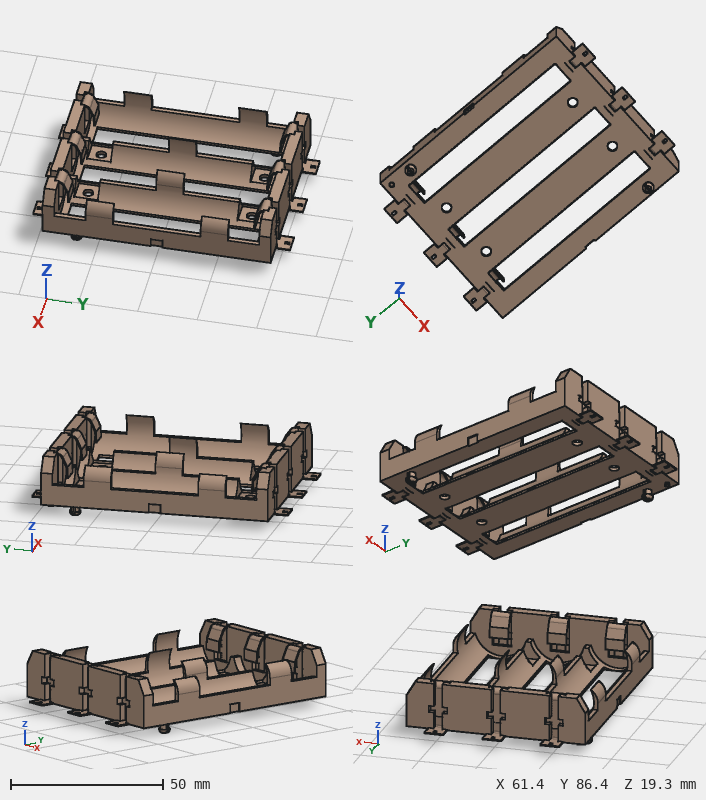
import cadquery as cq
import math


width = 61.4
length = 76.8
length_over_tabs = 86.4
wall_height = 15.9
side_height = 7.1
end_thickness = 3.9
corner_chamfer_x = 2.9
corner_chamfer_z = 4.9

bay_pitch = 19.9
bay_centers = [-bay_pitch, 0, bay_pitch]
web_centers = [-bay_pitch / 2, bay_pitch / 2]
cell_radius = 9.4
cell_axis_z = 9.5
opening_width = 7.9
opening_margin = 2.6
bay_length = length - 2 * end_thickness

clip_length = 9.2
clip_tip_z = 13.9
side_clip_y = 19.4
clip_root_thickness = 2.6

fixing_y = 27.5
seat_size = 8.0
seat_floor_z = 1.3
screw_hole_diameter = 3.2
peg_x = 27.9
peg_diameter = 2.85
peg_neck_length = 2.1
peg_length = 3.4
barb_diameter = 3.7
barb_tip_diameter = 2.1
barb_bulge = 0.22
peg_slit = 0.6

pin_y = 35.7
pin_neck_diameter = 1.3
pin_head_diameter = 1.6
pin_neck_length = 0.6
pin_length = 0.95

notch_length = 4.0
notch_height = 2.9
notch_depth = 0.5

sheet = 0.39
strip_width = 3.0
head_width = 6.5
head_reach = 8.65
strip_depth = 2.1
slot_depth = strip_depth + sheet
foot_bend_radius = 0.35
foot_mid_angle = 135.0
tab_reach = (length_over_tabs - length) / 2
tab_gap = 0.3
tab_hole_x = 0.9
tab_hole_y = 1.5
tab_hole_inset = 1.55
wing_width = 6.3
wing_bottom_z = 5.8
wing_height = 2.2
spring_pocket_floor_z = 3.6
spring_bend_radius = 1.8
spring_bend_z = 13.75
upper_blade_angle = 65.0
upper_blade_length = 3.7
lower_blade_angle = 87.0
lower_blade_length = 3.7


def block(x_size, y_min, y_max, z_min, z_max, x_center=0.0):
    """A box centred on x_center in X, given by its limits in Y and Z."""
    return (
        cq.Workplane("XY")
        .box(x_size, y_max - y_min, z_max - z_min, centered=(True, False, False))
        .translate((x_center, y_min, z_min))
    )


def along_y(profile, size):
    """Extrude a closed XZ profile symmetrically about the XZ plane."""
    return profile.close().extrude(size / 2, both=True)


def end_wall_pair():
    """Both end walls, with chamfered upper corners."""
    half = width / 2
    profile = (
        cq.Workplane("XZ")
        .moveTo(-half, 0)
        .lineTo(half, 0)
        .lineTo(half, wall_height - corner_chamfer_z)
        .lineTo(half - corner_chamfer_x, wall_height)
        .lineTo(corner_chamfer_x - half, wall_height)
        .lineTo(-half, wall_height - corner_chamfer_z)
    )
    between = block(width, -bay_length / 2, bay_length / 2, 0, wall_height)
    return along_y(profile, length).cut(between)


def clip_blank(bay_x, outer_offset, root_x):
    """Clip on the -X side of a bay, before the bay is cut: a root and a cap that leans inwards.

    The cap's outer face is an arc, vertical at the height of the cell axis, that meets
    the cell cylinder in a sharp tip. outer_offset is the distance from bay axis to outer face,
    and root_x is the centre of the root.
    """
    rise = clip_tip_z - cell_axis_z
    tip_offset = math.sqrt(cell_radius**2 - rise**2)
    lean = outer_offset - tip_offset
    arc_radius = (rise**2 + lean**2) / (2 * lean)
    half_angle = math.asin(rise / arc_radius) / 2
    mid_x = bay_x - outer_offset + arc_radius * (1 - math.cos(half_angle))
    mid_z = cell_axis_z + arc_radius * math.sin(half_angle)
    cap = (
        cq.Workplane("XZ")
        .moveTo(bay_x - outer_offset, cell_axis_z)
        .threePointArc((mid_x, mid_z), (bay_x - tip_offset, clip_tip_z))
        .lineTo(bay_x - cell_radius, cell_axis_z)
    )
    root = block(clip_root_thickness, -clip_length / 2, clip_length / 2, 0, cell_axis_z, root_x)
    return along_y(cap, clip_length).union(root)


def clip_blanks():
    """Two clips on each side wall, and one on each web leaning over the middle bay."""
    side_clip = clip_blank(
        -bay_pitch, width / 2 - bay_pitch, (clip_root_thickness - width) / 2
    )
    web_clip = clip_blank(0, bay_pitch - cell_radius, web_centers[0])
    left_clips = web_clip
    for y in (-side_clip_y, side_clip_y):
        left_clips = left_clips.union(side_clip.translate((0, y, 0)))
    return left_clips.union(left_clips.mirror("YZ"))


def bay_cutter():
    """Cell cylinders and the floor openings below them."""
    half = bay_length / 2
    opening_half = half - opening_margin
    cylinders = (
        cq.Workplane("XZ")
        .pushPoints([(x, cell_axis_z) for x in bay_centers])
        .circle(cell_radius)
        .extrude(half, both=True)
    )
    for x in bay_centers:
        opening = block(opening_width, -opening_half, opening_half, 0, cell_axis_z, x)
        cylinders = cylinders.union(opening)
    return cylinders


def screw_seat_cutter():
    """Square flat-bottomed seats in the webs, each with a screw hole."""
    points = [(x, y) for x in web_centers for y in (-fixing_y, fixing_y)]
    seats = (
        cq.Workplane("XY", origin=(0, 0, seat_floor_z))
        .pushPoints(points)
        .rect(seat_size, seat_size)
        .extrude(side_height)
    )
    holes = (
        cq.Workplane("XY").pushPoints(points).circle(screw_hole_diameter / 2).extrude(side_height)
    )
    return seats.union(holes)


def contact_slot_cutter(bay_x):
    """Space for one contact in the -Y end wall: outer slot with cross arms, and inner pocket."""
    face = -length / 2
    floor = face + slot_depth
    slot = block(strip_width, face, floor, 0, wall_height, bay_x)
    arms = block(wing_width, face, floor, wing_bottom_z, wing_bottom_z + wing_height, bay_x)
    pocket = block(
        head_width, floor, face + end_thickness, spring_pocket_floor_z, wall_height, bay_x
    )
    return slot.union(arms).union(pocket)


def side_notch_cutter():
    """Shallow notches at the foot of both side walls."""
    half = notch_length / 2
    left_notch = block(2 * notch_depth, -half, half, 0, notch_height, -width / 2)
    return left_notch.union(left_notch.mirror("YZ"))


def snap_peg():
    """Split peg with a rounded barb, pointing down from Z = 0."""
    barb_radius = barb_diameter / 2
    tip_radius = barb_tip_diameter / 2
    peg = (
        cq.Workplane("XZ")
        .moveTo(0, 0)
        .lineTo(peg_diameter / 2, 0)
        .lineTo(peg_diameter / 2, -peg_neck_length)
        .lineTo(barb_radius, -peg_neck_length)
        .sagittaArc((tip_radius, -peg_length), barb_bulge)
        .lineTo(0, -peg_length)
        .close()
        .revolve(360, (0, 0, 0), (0, 1, 0))
    )
    return peg.cut(block(2 * barb_diameter, -peg_slit / 2, peg_slit / 2, -peg_length, 0))


def locating_pin():
    """Short headed pin, pointing down from Z = 0."""
    neck = cq.Workplane("XY").circle(pin_neck_diameter / 2).extrude(-pin_neck_length)
    head = (
        cq.Workplane("XY", origin=(0, 0, -pin_neck_length))
        .circle(pin_head_diameter / 2)
        .extrude(pin_neck_length - pin_length)
    )
    return neck.union(head)


def make_housing():
    """Tray with end walls, clips, screw seats, contact slots, pegs and pin."""
    tray = block(width, -length / 2, length / 2, 0, side_height)
    body = tray.union(end_wall_pair()).union(clip_blanks())
    body = body.cut(bay_cutter()).cut(screw_seat_cutter()).cut(side_notch_cutter())
    for x in bay_centers:
        slot = contact_slot_cutter(x)
        body = body.cut(slot).cut(slot.mirror("XZ"))
    for x, y in [(-peg_x, fixing_y), (peg_x, -fixing_y)]:
        body = body.union(snap_peg().translate((x, y, 0)))
    return body.union(locating_pin().translate((-peg_x, pin_y, 0)))


def shifted(point, angle, distance):
    """Move a point across a blade that dips at the given angle; outwards is positive."""
    tilt = math.radians(angle)
    return (point[0] + distance * math.sin(tilt), point[1] + distance * math.cos(tilt))


def further(point, angle, distance):
    """Move a point down along a blade that dips at the given angle."""
    return shifted(point, angle + 90, distance)


def contact_ribbon():
    """Bent sheet of one contact at full width: tab, upright strip, bend and two-part blade.

    The profile's first coordinate is the depth from the wall's outer face, the second is Z.
    """
    bend_center = (strip_depth + spring_bend_radius, spring_bend_z)
    inner_bend_radius = spring_bend_radius - sheet
    foot_center = (strip_depth - foot_bend_radius, sheet + foot_bend_radius)
    foot_outer_radius = foot_bend_radius + sheet

    bend_end = shifted(bend_center, upper_blade_angle, spring_bend_radius)
    crease = further(bend_end, upper_blade_angle, upper_blade_length)
    blade_end = further(crease, lower_blade_angle, lower_blade_length)

    crease_angle = (upper_blade_angle + lower_blade_angle) / 2
    half_turn = math.radians(lower_blade_angle - upper_blade_angle) / 2
    inner_crease = shifted(crease, crease_angle, -sheet / math.cos(half_turn))
    inner_bend_end = shifted(bend_center, upper_blade_angle, inner_bend_radius)

    profile = (
        cq.Workplane("YZ")
        .moveTo(-tab_reach, 0)
        .lineTo(-tab_reach, sheet)
        .lineTo(foot_center[0], sheet)
        .threePointArc(
            shifted(foot_center, foot_mid_angle, foot_bend_radius), (strip_depth, foot_center[1])
        )
        .lineTo(strip_depth, spring_bend_z)
        .threePointArc(shifted(bend_center, 0, spring_bend_radius), bend_end)
        .lineTo(*crease)
        .lineTo(*blade_end)
        .lineTo(*shifted(blade_end, lower_blade_angle, -sheet))
        .lineTo(*inner_crease)
        .lineTo(*inner_bend_end)
        .threePointArc(shifted(bend_center, 0, inner_bend_radius), (slot_depth, spring_bend_z))
        .lineTo(slot_depth, foot_center[1])
        .threePointArc(shifted(foot_center, foot_mid_angle, foot_outer_radius), (foot_center[0], 0))
        .close()
    )
    return profile.extrude(head_width / 2, both=True)


def make_contact():
    """One contact for the -Y end wall, on X = 0."""
    tab = block(head_width, -tab_reach, -tab_gap, 0, sheet)
    strip = block(strip_width, -tab_gap, slot_depth, 0, wall_height)
    wings = block(
        wing_width, strip_depth, slot_depth, wing_bottom_z, wing_bottom_z + wing_height
    )
    head = block(head_width, slot_depth, head_reach, spring_pocket_floor_z, wall_height)
    outline = tab.union(strip).union(wings).union(head)
    tab_hole = (
        cq.Workplane("XY")
        .center(0, tab_hole_inset - tab_reach)
        .rect(tab_hole_x, tab_hole_y)
        .extrude(sheet)
    )
    contact = contact_ribbon().intersect(outline).cut(tab_hole)
    return contact.translate((0, -length / 2, 0))


housing = make_housing()

contacts = []
for bay_x in bay_centers:
    for turn in (0, 180):
        contact = make_contact().translate((bay_x, 0, 0))
        contacts.append(contact.rotate((0, 0, 0), (0, 0, 1), turn))

result = cq.Compound.makeCompound(
    [housing.solids().val(), *[contact.solids().val() for contact in contacts]]
)